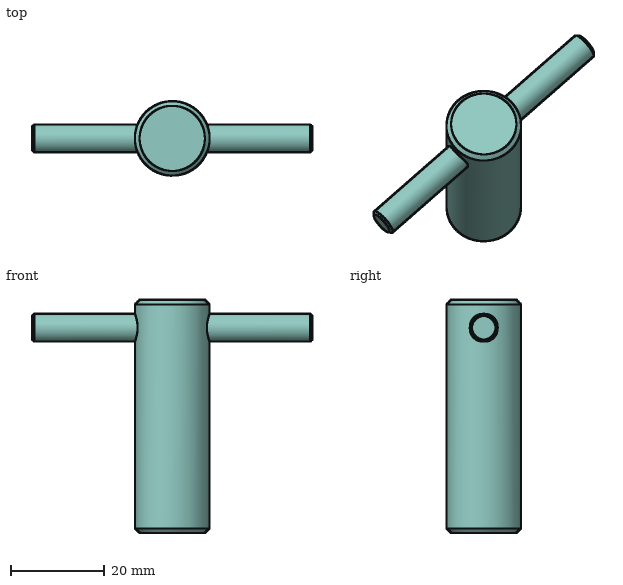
import cadquery as cq

body_diameter = 16.0
body_height = 50.0
body_chamfer = 1.0

bar_length = 60.0
bar_diameter = 6.0
bar_chamfer = 0.5
bar_axis_below_top = 6.0
bar_axis_height = body_height - bar_axis_below_top


def chamfered_rod(plane, diameter, length, chamfer):
    """Round rod along the plane normal, with both end rims chamfered."""
    rod = cq.Workplane(plane).circle(diameter / 2).extrude(length)
    return rod.faces("<Z or >Z" if plane == "XY" else "<X or >X").edges().chamfer(chamfer)


body = chamfered_rod("XY", body_diameter, body_height, body_chamfer)

cross_bar = chamfered_rod("YZ", bar_diameter, bar_length, bar_chamfer)
cross_bar = cross_bar.translate((-bar_length / 2, 0, bar_axis_height))

result = body.union(cross_bar)